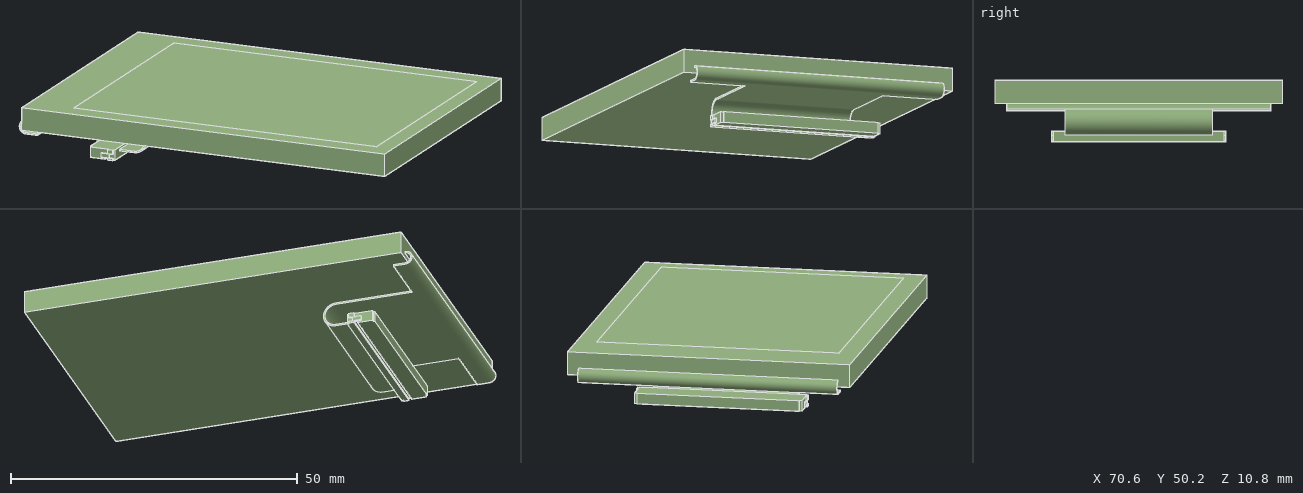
import cadquery as cq

panel_length = 69.25
panel_width = 50.2
panel_thickness = 4.1

window_length = 57.75
window_width = 43.1
window_start = 8.4
window_depth = 0.5

tail_thickness = 0.3
wide_tail_width = 46.1
narrow_tail_width = 25.8
wide_tail_end = 2.1
edge_overhang = 1.35
edge_bend_radius = 1.3
fold_radius = 2.25
fold_end = 18.35

connector_start = 8.4
connector_end = 13.3
connector_bottom = -6.7
connector_height = 1.9
connector_width = 30.35
housing_width = 29.8
nose_width = 28.8
end_step = 0.3
groove_start = 11.45
groove_end = 12.0
groove_depth = 0.3
latch_start = 10.7
notch_start = 12.3
latch_bottom = -6.35
latch_height = 0.8

edge_bend_x = edge_bend_radius - edge_overhang
edge_inner_radius = edge_bend_radius - tail_thickness
fold_x = fold_end - fold_radius
fold_inner_radius = fold_radius - tail_thickness
fold_z = -edge_inner_radius - fold_radius


def block(x_start, x_end, width, z_bottom, height):
    """Box centred on Y, placed by its X ends and its underside."""
    return (
        cq.Workplane("XY")
        .box(x_end - x_start, width, height, centered=(False, True, False))
        .translate((x_start, 0, z_bottom))
    )


def extrude_across(outline, width):
    """Extrude a closed XZ outline symmetrically about Y = 0."""
    return outline.close().extrude(width / 2, both=True)


def make_window():
    return block(
        window_start,
        window_start + window_length,
        window_width,
        panel_thickness - window_depth,
        window_depth,
    )


def make_panel(window):
    return block(0, panel_length, panel_width, 0, panel_thickness).cut(window)


def make_tail():
    wide = extrude_across(
        cq.Workplane("XZ")
        .moveTo(0, edge_bend_radius)
        .lineTo(edge_bend_x, edge_bend_radius)
        .threePointArc((-edge_overhang, 0), (edge_bend_x, -edge_bend_radius))
        .lineTo(wide_tail_end, -edge_bend_radius)
        .lineTo(wide_tail_end, -edge_inner_radius)
        .lineTo(edge_bend_x, -edge_inner_radius)
        .threePointArc((tail_thickness - edge_overhang, 0), (edge_bend_x, edge_inner_radius))
        .lineTo(0, edge_inner_radius),
        wide_tail_width,
    )
    narrow = extrude_across(
        cq.Workplane("XZ")
        .moveTo(wide_tail_end, fold_z + fold_radius)
        .lineTo(fold_x, fold_z + fold_radius)
        .threePointArc((fold_end, fold_z), (fold_x, fold_z - fold_radius))
        .lineTo(connector_end, fold_z - fold_radius)
        .lineTo(connector_end, fold_z - fold_inner_radius)
        .lineTo(fold_x, fold_z - fold_inner_radius)
        .threePointArc((fold_end - tail_thickness, fold_z), (fold_x, fold_z + fold_inner_radius))
        .lineTo(wide_tail_end, fold_z + fold_inner_radius),
        narrow_tail_width,
    )
    return wide.union(narrow)


def make_connector():
    nose = block(connector_start, connector_end, nose_width, connector_bottom, connector_height)
    housing = block(
        connector_start + end_step, connector_end, housing_width, connector_bottom, connector_height
    )
    rear = block(
        groove_end, connector_end - end_step, connector_width, connector_bottom, connector_height
    )
    notches = block(notch_start, connector_end, connector_width, latch_bottom, latch_height)
    rear = rear.cut(notches)
    latch_arms = block(latch_start, groove_end, connector_width, latch_bottom, latch_height)
    groove = block(groove_start, groove_end, connector_width, connector_bottom, groove_depth)
    return nose.union(housing).union(rear).union(latch_arms).cut(groove)


window = make_window()
panel = make_panel(window)
tail = make_tail()
connector = make_connector()

result = cq.Compound.makeCompound([panel.val(), window.val(), tail.val(), connector.val()])